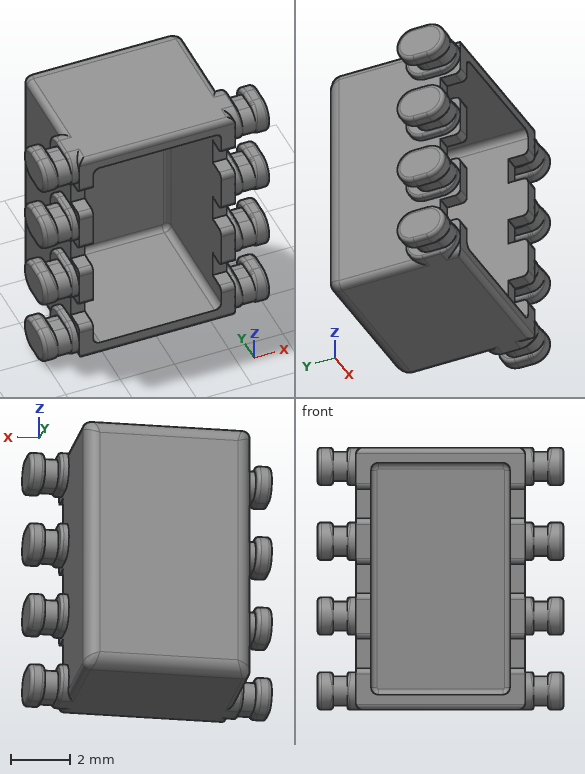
import cadquery as cq

height = 8.89
depth = 5.08
overall_width = 8.34
body_width = 5.74
wall = 0.52
side_edge_radius = 0.25
back_edge_radius = 0.5
front_edge_radius = 0.2
cavity_floor_radius = 0.2
cavity_corner_radius = 0.25

posts_per_side = 4
post_height = 1.28
post_pitch = (height - post_height) / (posts_per_side - 1)
post_levels = [(i - (posts_per_side - 1) / 2) * post_pitch for i in range(posts_per_side)]

cap_thickness = 0.53
cap_depth = 1.79
cap_radius = 0.13
collar_depth = 1.94
collar_thickness = 0.285
collar_radius = 0.1
neck_height = 1.005
neck_depth = 1.5
neck_recess = 0.002

tooth_height = 1.55
notch_depth = 0.75
notch_height = post_pitch - tooth_height

body_side = body_width / 2
collar_face = body_side + collar_thickness
cap_outer = overall_width / 2
cap_inner = cap_outer - cap_thickness
post_root = body_side - wall / 2


def make_body():
    """Solid block with its front cut into teeth, before it is hollowed out."""
    body = cq.Workplane("XY").box(body_width, depth, height, centered=(True, False, True))
    for lower_level in post_levels[:-1]:
        body = body.cut(make_notch(lower_level + post_pitch / 2))
    body = body.faces("<Y").edges("|X").fillet(front_edge_radius)
    return body.intersect(make_envelope())


def make_envelope():
    """Plain block with rounded side and back edges."""
    envelope = cq.Workplane("XY").box(body_width, depth, height, centered=(True, False, True))
    envelope = envelope.edges("|Y").fillet(side_edge_radius)
    return envelope.faces(">Y").edges().fillet(back_edge_radius)


def make_cavity():
    cavity = cq.Workplane("XY").box(
        body_width - 2 * wall, depth - wall, height - 2 * wall, centered=(True, False, True)
    )
    cavity = cavity.edges("|Y").fillet(cavity_corner_radius)
    return cavity.faces(">Y").edges().fillet(cavity_floor_radius)


def make_notch(level):
    """Slot along X, cut across the front."""
    notch = cq.Workplane("XY").box(body_width, notch_depth, notch_height, centered=(True, False, True))
    return notch.translate((0, 0, level))


def make_slot_bar(x_start, x_end, slot_depth, slot_height):
    """Bar along X with a rounded-end section that touches the Y = 0 plane."""
    return (
        cq.Workplane("YZ", origin=(x_start, slot_depth / 2, 0))
        .slot2D(slot_depth, slot_height)
        .extrude(x_end - x_start)
    )


def round_rim(post, face_selector, radius):
    """Round the outer edge of the flat face that the selector picks among those facing along X."""
    outer_wire = cq.selectors.LengthNthSelector(-1)
    rim = post.faces("|X").faces(face_selector).wires(outer_wire).edges()
    return rim.fillet(radius)


def make_post():
    """Post on the +X side, at mid height: collar against the housing, neck and cap."""
    collar = make_slot_bar(post_root, collar_face, collar_depth, post_height)
    neck = make_slot_bar(collar_face, cap_inner, neck_depth, neck_height)
    cap = make_slot_bar(cap_inner, cap_outer, cap_depth, post_height)
    post = collar.union(neck.translate((0, neck_recess, 0))).union(cap)
    post = round_rim(post, ">X[-3]", collar_radius)
    post = round_rim(post, ">X[-2]", cap_radius)
    return round_rim(post, ">X", cap_radius)


right_post = make_post()
left_post = right_post.mirror("YZ")
result = make_body().cut(make_cavity())
for level in post_levels:
    result = result.union(right_post.translate((0, 0, level)))
    result = result.union(left_post.translate((0, 0, level)))